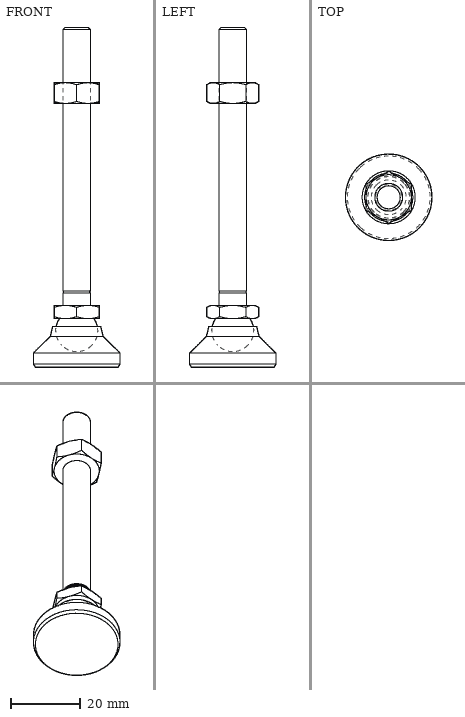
import cadquery as cq
import math

foot_radius = 12.495
foot_chamfer_height = 0.9
foot_chamfer_width = 0.6
rim_top = 4.1
collar_base = 8.9
collar_base_radius = 7.6
collar_top = 11.8
collar_top_radius = 7.0

ball_radius = 6.1
ball_center = 10.6

stud_top = 98.0
stud_radius = 4.0
stud_chamfer = 0.7
groove_base = 21.5
groove_height = 0.6
groove_depth = 0.2

across_flats = 13.0
hex_face_radius = across_flats / 2
hex_chamfer_angle = 30.0
stud_hex_base = 14.0
stud_hex_height = 3.8
nut_base = 76.0
nut_height = 6.0


def cylinder(radius, base, height):
    return cq.Workplane("XY", origin=(0, 0, base)).circle(radius).extrude(height)


def ball():
    return cq.Workplane("XY", origin=(0, 0, ball_center)).sphere(ball_radius)


def chamfered_hexagon(base, height):
    """Hexagonal prism with corners on the Y axis, cut by a cone at both ends."""
    corner_radius = across_flats / math.sqrt(3)
    drop = (corner_radius - hex_face_radius) * math.tan(math.radians(hex_chamfer_angle))
    prism = (
        cq.Workplane("XY", origin=(0, 0, base))
        .transformed(rotate=(0, 0, 90))
        .polygon(6, 2 * corner_radius)
        .extrude(height)
    )
    envelope = (
        cq.Workplane("XZ")
        .moveTo(0, base)
        .lineTo(hex_face_radius, base)
        .lineTo(corner_radius, base + drop)
        .lineTo(corner_radius, base + height - drop)
        .lineTo(hex_face_radius, base + height)
        .lineTo(0, base + height)
        .close()
        .revolve(360, (0, 0), (0, 1))
    )
    return prism.intersect(envelope)


def make_foot():
    """Flared foot whose collar holds the ball in a matching spherical socket."""
    outside = (
        cq.Workplane("XZ")
        .lineTo(foot_radius - foot_chamfer_width, 0)
        .lineTo(foot_radius, foot_chamfer_height)
        .lineTo(foot_radius, rim_top)
        .lineTo(collar_base_radius, collar_base)
        .lineTo(collar_top_radius, collar_top)
        .lineTo(0, collar_top)
        .close()
        .revolve(360, (0, 0), (0, 1))
    )
    return outside.cut(ball())


def make_stud():
    """Threaded stud with its ball end, wrench hexagon and thread relief groove."""
    lower_ball = ball().intersect(cylinder(ball_radius, 0, stud_hex_base))
    shaft = cylinder(stud_radius, stud_hex_base, stud_top - stud_hex_base)
    shaft = shaft.faces(">Z").chamfer(stud_chamfer)
    groove = cylinder(stud_radius, groove_base, groove_height).cut(
        cylinder(stud_radius - groove_depth, groove_base, groove_height)
    )
    hexagon = chamfered_hexagon(stud_hex_base, stud_hex_height)
    return shaft.cut(groove).union(hexagon).union(lower_ball)


def make_nut():
    """Loose hexagonal nut that fits around the stud."""
    bore = cylinder(stud_radius, nut_base, nut_height)
    return chamfered_hexagon(nut_base, nut_height).cut(bore)


foot = make_foot()
stud = make_stud()
nut = make_nut()

result = cq.Compound.makeCompound([foot.val(), stud.val(), nut.val()])